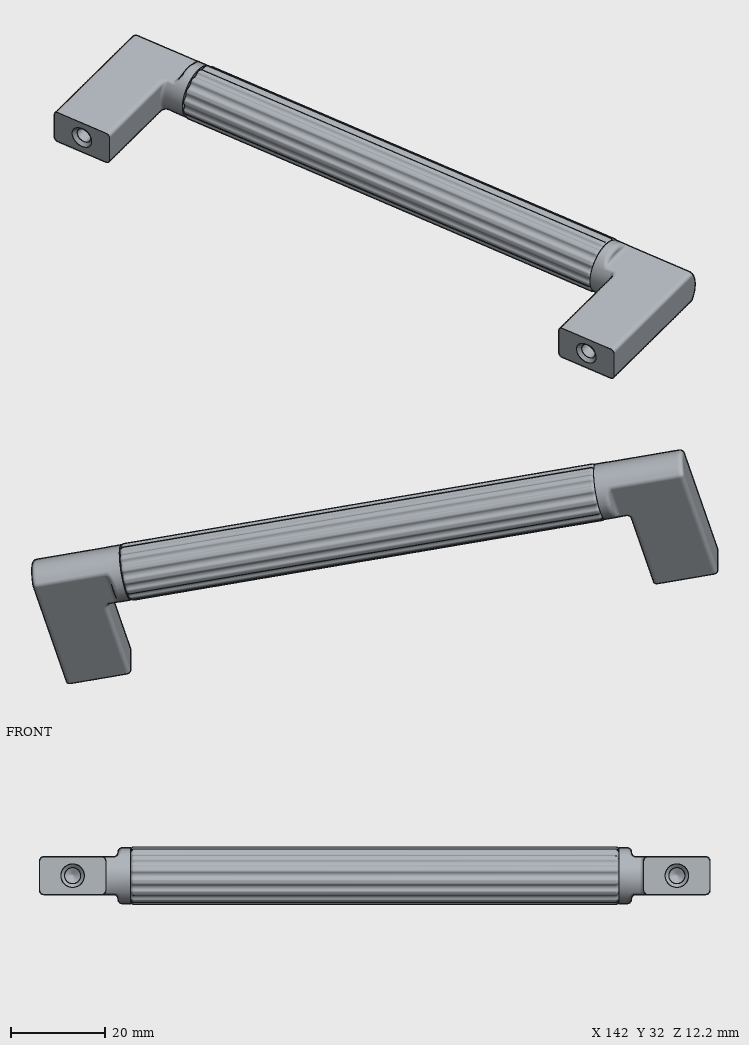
import cadquery as cq
import math

length = 142
depth = 32.0

bar_radius = 6.1
flute_count = 14
flute_radius = 1.0
land_width = 1.1
land_fillet = 0.5
bar_end_fillet = 0.7

leg_width = 14.0
leg_thickness = 8.1
collar_radius = 6.0
collar_end = 19.3
flat_end = 16.6
flat_end_fillet = 0.9
inner_corner_fillet = 0.7
edge_fillet = 1.0

hole_diameter = 3.4
hole_depth = 10
countersink_diameter = 5.0
drill_tip_angle = 118

cut_margin = 1.4
tolerance = 0.01

axis_y = depth - collar_radius
bar_length = length - 2 * collar_end


def x_cylinder(radius, start, end):
    """Cylinder on the bar axis between two X positions."""
    return cq.Workplane("YZ", origin=(start, axis_y, 0)).circle(radius).extrude(end - start)


def polar(radius, angle):
    """Point at an angle in the bar's cross-section, with the bar axis as origin."""
    return (radius * math.cos(angle), radius * math.sin(angle))


def make_bar():
    """Bar with concave flutes between narrow lands, one land at the +Z top."""
    pitch = 2 * math.pi / flute_count
    half_land = math.asin(land_width / 2 / bar_radius)
    half_flute = pitch / 2 - half_land
    half_chord = bar_radius * math.sin(half_flute)
    flute_sag = flute_radius - math.sqrt(flute_radius**2 - half_chord**2)
    floor_radius = bar_radius * math.cos(half_flute) - flute_sag

    first_land = math.pi / 2
    outline = cq.Workplane("YZ", origin=(collar_end, axis_y, 0))
    outline = outline.moveTo(*polar(bar_radius, first_land - half_land))
    for i in range(flute_count):
        land = first_land + i * pitch
        outline = outline.threePointArc(polar(bar_radius, land), polar(bar_radius, land + half_land))
        outline = outline.threePointArc(
            polar(floor_radius, land + pitch / 2), polar(bar_radius, land + pitch - half_land)
        )
    bar = outline.close().extrude(bar_length)
    bar = bar.edges("|X").fillet(land_fillet)
    return bar.faces("<X or >X").edges().fillet(bar_end_fillet)


class OuterEdges(cq.Selector):
    """Edges to round on a leg: all but those of the mounting face, the collar end and smooth joins."""

    def filter(self, edges):
        kept = []
        for edge in edges:
            box = edge.BoundingBox()
            on_mounting_face = box.ymax < tolerance
            on_collar_end = box.xmin > collar_end - tolerance
            crosses_sides = box.zmin < -edge_fillet and box.zmax > edge_fillet and box.xmin > tolerance
            smooth_join = box.xmin > flat_end - flat_end_fillet - tolerance and edge.geomType() == "LINE"
            on_seam = box.ymin > depth - tolerance
            if not (on_mounting_face or on_collar_end or crosses_sides or smooth_join or on_seam):
                kept.append(edge)
        return kept


def shape_leg():
    """Flat L-shaped leg whose short arm along +X ends in a round collar."""
    post = cq.Workplane("XY").box(leg_width, axis_y, 2 * collar_radius, centered=(False, False, True))
    leg = post.union(x_cylinder(collar_radius, 0, collar_end))

    half = leg_thickness / 2
    for side in (1, -1):
        flat = (
            cq.Workplane("XZ", origin=(0, depth, 0))
            .moveTo(-cut_margin, side * half)
            .lineTo(flat_end - flat_end_fillet, side * half)
            .radiusArc((flat_end, side * (half + flat_end_fillet)), -side * flat_end_fillet)
            .lineTo(flat_end, side * (collar_radius + cut_margin))
            .lineTo(-cut_margin, side * (collar_radius + cut_margin))
            .close()
            .extrude(depth + cut_margin)
        )
        leg = leg.cut(flat)

    inner_corner = leg.edges(cq.selectors.NearestToPointSelector((leg_width, axis_y - collar_radius, 0)))
    leg = inner_corner.fillet(inner_corner_fillet)
    return leg.edges(OuterEdges()).fillet(edge_fillet)


def drill_hole(leg):
    """Countersunk blind hole with a conical bottom in the mounting face."""
    hole_radius = hole_diameter / 2
    sink_radius = countersink_diameter / 2
    tip_depth = hole_depth + hole_radius / math.tan(math.radians(drill_tip_angle / 2))
    half_section = [
        (0, 0),
        (sink_radius, 0),
        (hole_radius, sink_radius - hole_radius),
        (hole_radius, hole_depth),
        (0, tip_depth),
    ]
    hole = cq.Workplane("XY", origin=(leg_width / 2, 0, 0)).polyline(half_section).close()
    return leg.cut(hole.revolve(360, (0, 0), (0, 1)))


def make_leg(mirrored):
    """Complete leg for the -X end, or its mirror image for the +X end."""
    leg = drill_hole(shape_leg())
    if mirrored:
        leg = leg.mirror("YZ", (length / 2, 0, 0))
    return leg


bar = make_bar()
legs = [make_leg(mirrored) for mirrored in (False, True)]
result = cq.Compound.makeCompound([bar.val(), *[leg.val() for leg in legs]])